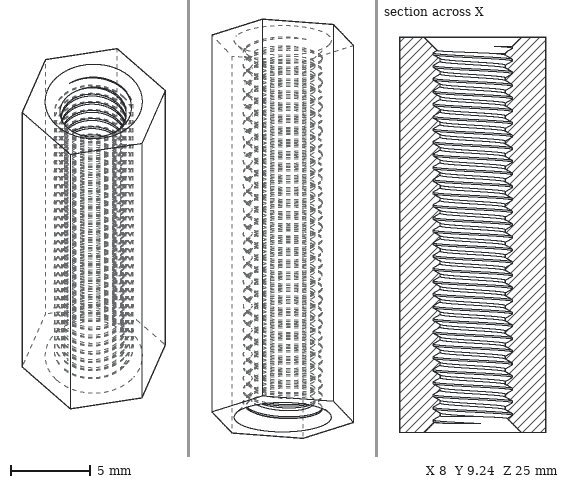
import cadquery as cq
import math

length = 25.0
across_flats = 8.0
across_corners = across_flats / math.cos(math.pi / 6)

pitch = 0.8
minor_radius = 2.05
major_radius = 2.5
root_flat = pitch / 8
flank_slope = math.tan(math.pi / 6)
thread_end_inset = 0.05
thread_top = length / 2 - thread_end_inset
turns_per_run = (2, 14, 13, 2)

countersink_radius = 3.08
countersink_depth = countersink_radius - minor_radius

cutter_overlap = 0.08


def make_body():
    corners_along_x = cq.Workplane("XY").polygon(6, across_corners).extrude(length / 2, both=True)
    return corners_along_x.rotate((0, 0, 0), (0, 0, 1), 90)


def make_bore():
    """Through bore and its two countersinks as one turned cutter."""
    half = length / 2
    neck = half - countersink_depth
    return (
        cq.Workplane("YZ")
        .moveTo(0, -half)
        .lineTo(countersink_radius, -half)
        .lineTo(minor_radius, -neck)
        .lineTo(minor_radius, neck)
        .lineTo(countersink_radius, half)
        .lineTo(0, half)
        .close()
        .revolve(360, (0, 0, 0), (0, 1, 0))
    )


def make_thread_run(turns):
    """Right-handed helical groove of a few turns, starting at Z = 0 on the +X side."""
    inner_radius = minor_radius - cutter_overlap
    root_half = root_flat / 2
    mouth_half = root_half + (major_radius - inner_radius) * flank_slope
    helix = cq.Wire.makeHelix(pitch, turns * pitch, inner_radius)
    return (
        cq.Workplane("XZ")
        .moveTo(inner_radius, -mouth_half)
        .lineTo(major_radius, -root_half)
        .lineTo(major_radius, root_half)
        .lineTo(inner_radius, mouth_half)
        .close()
        .sweep(cq.Workplane(obj=helix), isFrenet=True)
    )


result = make_body().cut(make_bore())

run_bottom = thread_top
for turns in turns_per_run:
    run_bottom -= turns * pitch
    result = result.cut(make_thread_run(turns).translate((0, 0, run_bottom)))